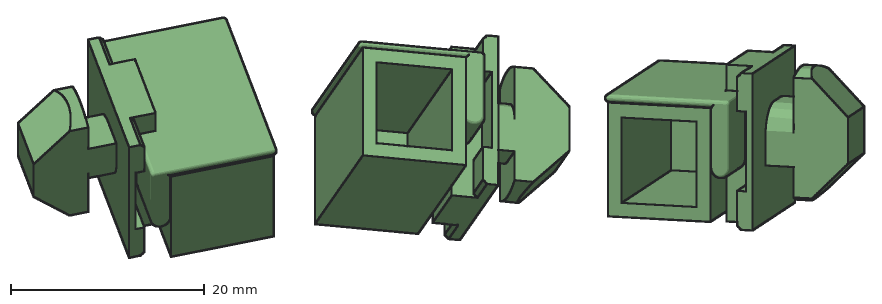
import cadquery as cq

knob_width = 6.1
head_radius = 7.0
head_tip_height = 4.9
head_back = 5.85
neck_radius = 3.1

plate_width = 16.0
plate_top = 7.48
plate_height = 16.5
plate_bottom = plate_top - plate_height
plate_front = 8.85
plate_back = 10.5
plate_chamfer = 0.44
recess_floor = 9.55
recess_top = 3.45
recess_bottom = -4.94

rib_width = 7.99

part_width = 20.0
housing_front = 12.8
housing_back = 23.81
housing_top = 4.02
housing_bottom = -7.95
window_front = 14.3
window_back = 22.34
window_top = 2.52
window_bottom = -6.45
end_wall = housing_top - window_top

cap_thickness = 0.8
cap_top = housing_top + cap_thickness
cap_front = 10.75
cap_back = 24.2
cap_round = 0.39
flap_bottom = -3.36
rib_clearance = 0.25


def box(x_range, y_range, z_range):
    """Block spanning the given (low, high) limits."""
    (x0, x1), (y0, y1), (z0, z1) = x_range, y_range, z_range
    return cq.Workplane("XY").box(x1 - x0, y1 - y0, z1 - z0, centered=False).translate((x0, y0, z0))


def centered_box(width, y_range, z_range):
    """Block centred on X."""
    return box((-width / 2, width / 2), y_range, z_range)


def y_cylinder(radius, y0, y1):
    """Cylinder on the knob axis."""
    return cq.Workplane("XZ", origin=(0, y0, 0)).circle(radius).extrude(y0 - y1)


def make_knob():
    half_tip = head_tip_height / 2
    half_back = half_tip + head_back
    head = (
        cq.Workplane("YZ")
        .polyline([(0, -half_tip), (0, half_tip), (head_back, half_back), (head_back, -half_back)])
        .close()
        .extrude(knob_width / 2, both=True)
        .intersect(y_cylinder(head_radius, 0, head_back))
    )
    neck_span = (head_back, plate_front)
    half_width = knob_width / 2
    neck = y_cylinder(neck_radius, *neck_span).intersect(
        centered_box(knob_width, neck_span, (-neck_radius, neck_radius))
    )
    neck = neck.union(box((0, half_width), neck_span, (0, neck_radius)))
    neck = neck.union(box((-half_width, 0), neck_span, (-neck_radius, 0)))
    return head.union(neck)


def make_plate():
    plate = centered_box(plate_width, (plate_front, plate_back), (plate_bottom, plate_top))
    plate = plate.faces(">Y").edges("|X").chamfer(plate_chamfer)
    recess = centered_box(plate_width, (recess_floor, plate_back), (recess_bottom, recess_top))
    rib = centered_box(rib_width, (plate_front, housing_front), (plate_bottom, plate_top))
    return plate.cut(recess).union(rib)


def make_housing():
    body = centered_box(part_width, (housing_front, housing_back), (housing_bottom, housing_top))
    window = box(
        (-part_width / 2, part_width / 2 - end_wall),
        (window_front, window_back),
        (window_bottom, window_top),
    )
    return body.cut(window)


def make_cap():
    flap_radius = (housing_front - cap_front) / 2
    flap_middle = cap_front + flap_radius
    arc_height = flap_bottom + flap_radius
    cap = (
        cq.Workplane("YZ")
        .moveTo(cap_back, cap_top)
        .lineTo(cap_front, cap_top)
        .lineTo(cap_front, arc_height)
        .threePointArc((flap_middle, flap_bottom), (housing_front, arc_height))
        .lineTo(housing_front, housing_top)
        .lineTo(cap_back, housing_top)
        .close()
        .extrude(part_width / 2, both=True)
    )
    top_edges = cap.faces(">Z").edges("|X")
    back_edges = cap.faces(">Y").edges("|X")
    end_edges = cap.faces("<X or >X").edges()
    cap = cap.newObject(top_edges.vals() + [back_edges.edges("<Z").val()] + end_edges.vals())
    cap = cap.fillet(cap_round)
    slot = box(
        (-rib_width / 2 - rib_clearance, rib_width / 2),
        (cap_front, housing_front),
        (flap_bottom, cap_top),
    )
    return cap.cut(slot)


result = make_knob().union(make_plate()).union(make_housing()).union(make_cap())